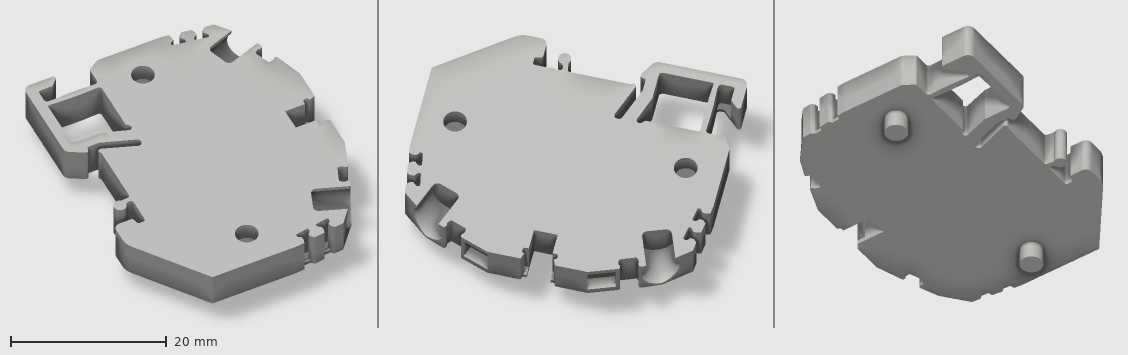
import cadquery as cq
import math

half_length = 20.0
plate_height = 33.0
plate_thickness = 5.1

peg_diameter = 3.05
peg_length = 2.5
peg_offset_x = 15.2
peg_y = 14.8

slot_half_width = 1.55
slot_bottom_y = 28.45
slot_shoulder_y = 32.5

entry_angle = 20.0
entry_end = (-13.7, 24.85)
entry_depth = 10.0
entry_bore_radius = 2.5
entry_bore_z = 2.9
entry_slit_width = 3.85
entry_corner_radius = 0.7

marker_step = (-0.5, -3.1)
marker_count = 2
neck_floor_z = 0.5
pocket_floor_z = 0.6

recess_angle = 20.0
recess_bottom_z = 0.85
recess_top_z = 4.4
recess_length = 3.7
recess_depth = 1.6
slope_top_x = -6.6

flank_bottom_y = 10.65
foot_shelf_y = 9.05
rail_seat_y = 4.1
foot_floor_y = 1.5
strut_left_x = -16.4
strut_right_x = -15.75
strut_middle_y = 5.6
strut_bulge = 0.2
strut_bulge_radius = 46.0


def rounded_face(points):
    """Closed outline from (x, y) or (x, y, corner radius) points."""
    corners = [cq.Vector(p[0], p[1]) for p in points]
    radii = [p[2] if len(p) > 2 else 0 for p in points]
    count = len(points)
    stretches = []
    for i in range(count):
        corner = corners[i]
        if radii[i] == 0:
            stretches.append((corner, corner, corner))
            continue
        back = (corners[i - 1] - corner).normalized()
        ahead = (corners[(i + 1) % count] - corner).normalized()
        half_angle = back.getAngle(ahead) / 2
        tangent = radii[i] / math.tan(half_angle)
        to_middle = radii[i] / math.sin(half_angle) - radii[i]
        middle = corner + (back + ahead).normalized() * to_middle
        stretches.append((corner + back * tangent, middle, corner + ahead * tangent))
    outline = cq.Workplane("XY").moveTo(*stretches[0][2].toTuple()[:2])
    for i in range(1, count + 1):
        start, middle, end = stretches[i % count]
        outline = outline.lineTo(*start.toTuple()[:2])
        if radii[i % count] > 0:
            outline = outline.threePointArc(middle.toTuple()[:2], end.toTuple()[:2])
    return outline.close()


def prism(points, bottom_z=0.0, top_z=plate_thickness):
    return rounded_face(points).extrude(top_z - bottom_z).translate((0, 0, bottom_z))


def both_sides(body):
    return body.union(body.mirror("YZ"))


def shifted(points, index):
    """Points moved by a number of marker groove steps."""
    dx = marker_step[0] * index
    dy = marker_step[1] * index
    return [(p[0] + dx, p[1] + dy, *p[2:]) for p in points]


groove_lower_lip = (-19.4, 23.85)
groove_neck_bottom = (-18.8, 24.0)
groove_neck_top = (-18.7, 25.05)
groove_upper_lip = (-19.1, 25.45)
groove_mouth = [groove_lower_lip, groove_neck_bottom, groove_neck_top, groove_upper_lip]
groove_pocket = [
    (-18.4, 23.95, 0.1),
    (-18.0, 23.45, 0.2),
    (-17.65, 23.45, 0.15),
    (-17.3, 25.3, 0.2),
    (-17.8, 25.4, 0.2),
    (-18.3, 24.95, 0.1),
]

upper_left = [(-half_length, 19.55)]
for index in reversed(range(marker_count)):
    upper_left += shifted(groove_mouth, index)
upper_left += [
    (-19.0, 26.7),
    (-15.6, 29.55),
    (-12.5, 30.9, 0.35),
    (-12.7, 29.95, 0.1),
    (-12.25, 29.4),
    (-10.05, 30.25, 0.25),
    (-10.15, 30.9),
    (-10.75, 31.5, 0.3),
    (slope_top_x, plate_height),
    (-2.3, plate_height),
    (-2.1, slot_shoulder_y),
    (-slot_half_width, slot_shoulder_y),
    (-slot_half_width, slot_bottom_y),
]
upper_right = [(-p[0], *p[1:]) for p in reversed(upper_left)]

right_foot = [
    (half_length, 7.55),
    (10.05, 0, 2.8),
    (6.5, 0, 0.9),
    (6.5, 2.75, 0.25),
    (7.5, 3.0, 0.35),
    (7.5, rail_seat_y, 0.3),
]

bead_center = (3.7, 2.3)
bead_radius = 0.85
finger = [
    (3.65, rail_seat_y, 0.3),
    (3.65, 3.45, 0.25),
    (4.2, 2.8),
    bead_center,
    (3.1, 2.6),
    (2.9, rail_seat_y, 0.35),
]

left_foot = [
    (-5.45, rail_seat_y, 0.1),
    (-5.65, 3.9, 0.1),
    (-6.3, 3.9, 0.35),
    (-4.25, 9.55, 0.5),
    (-5.4, 9.55, 0.5),
    (-7.1, 4.7),
    (-7.1, 2.95),
    (-6.35, 2.7, 0.2),
    (-6.35, 2.3, 0.2),
    (-7.7, 0, 1.0),
    (-half_length, 0, 1.0),
    (-half_length, 4.95, 0.3),
    (-17.35, 2.4, 0.2),
    (-16.7, 2.4, 0.2),
    (strut_left_x, 2.7),
    (strut_left_x - strut_bulge, strut_middle_y, strut_bulge_radius),
    (strut_left_x, foot_shelf_y, 0.5),
    (-19.0, foot_shelf_y, 0.3),
    (-half_length, flank_bottom_y, 0.5),
]

foot_window = [
    (strut_right_x, foot_shelf_y, 0.35),
    (-8.5, foot_shelf_y),
    (-8.0, 9.55, 0.25),
    (-7.25, 9.55, 0.4),
    (-8.6, 5.55),
    (-8.6, foot_floor_y, 0.5),
    (strut_right_x, foot_floor_y, 0.2),
    (strut_right_x + strut_bulge, strut_middle_y, strut_bulge_radius),
]

toe_pocket = [
    (-18.5, foot_floor_y, 0.3),
    (strut_left_x, foot_floor_y, 0.5),
    (strut_left_x, 2.7),
    (-17.35, 4.0),
    (-18.5, 4.0),
]

slot_groove = [
    (-2.1, slot_shoulder_y),
    (-1.95, 32.1),
    (-2.3, 32.05, 0.3),
    (-2.3, 31.3, 0.3),
    (-slot_half_width, 31.3),
    (-slot_half_width, slot_shoulder_y),
]


def wire_entry():
    """Round bore, opened to the top face by a straight slit."""
    bore = (
        cq.Workplane("XZ")
        .center(0, entry_bore_z)
        .circle(entry_bore_radius)
        .extrude(-entry_depth)
    )
    half_width = entry_slit_width / 2
    slit = prism(
        [
            (-half_width, 0, entry_corner_radius),
            (half_width, 0, entry_corner_radius),
            (half_width, entry_depth),
            (-half_width, entry_depth),
        ],
        entry_bore_z,
    )
    entry = bore.union(slit)
    return entry.rotate((0, 0, 0), (0, 0, 1), entry_angle).translate(entry_end)


def marker_groove(index):
    neck = [
        groove_neck_bottom,
        groove_pocket[0][:2],
        groove_pocket[-1][:2],
        groove_neck_top,
    ]
    pocket = prism(shifted(groove_pocket, index), pocket_floor_z)
    return pocket.union(prism(shifted(neck, index), neck_floor_z))


def slope_recess():
    """Recess whose upper wall starts where the slope meets the top edge."""
    outline = [
        (-recess_length, -recess_depth),
        (0, -recess_depth),
        (0, recess_depth),
        (-recess_length, recess_depth),
    ]
    recess = prism(outline, recess_bottom_z, recess_top_z)
    recess = recess.rotate((0, 0, 0), (0, 0, 1), recess_angle)
    return recess.translate((slope_top_x, plate_height))


peg_places = [(-peg_offset_x, peg_y), (peg_offset_x, peg_y)]
pegs = cq.Workplane("XY").pushPoints(peg_places).circle(peg_diameter / 2).extrude(-peg_length)
sockets = pegs.translate((0, 0, plate_thickness))
bead = cq.Workplane("XY").center(*bead_center).circle(bead_radius).extrude(plate_thickness)

body = prism(upper_left + upper_right + right_foot + finger + left_foot)
body = body.union(bead).cut(prism(foot_window))
body = body.cut(prism(toe_pocket, pocket_floor_z))
for index in range(marker_count):
    body = body.cut(both_sides(marker_groove(index)))
body = body.cut(both_sides(prism(slot_groove, pocket_floor_z)))
body = body.cut(both_sides(wire_entry()))
body = body.cut(both_sides(slope_recess()))
result = body.cut(sockets).union(pegs)